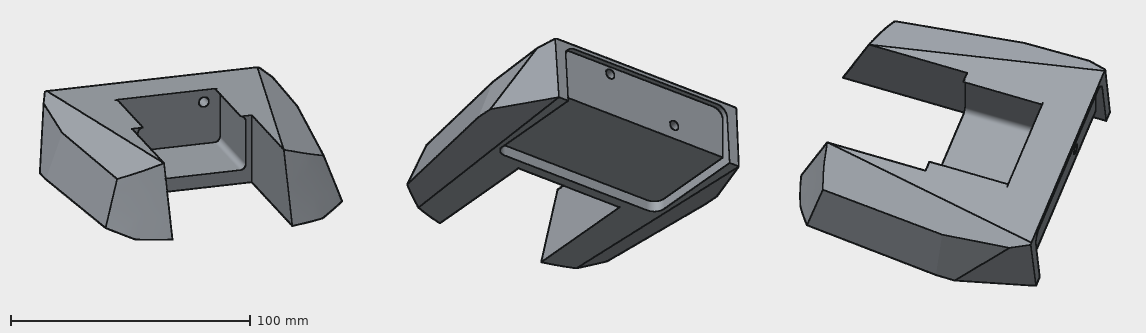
import cadquery as cq
import math

LENGTH = 111.3
WIDTH = 118.0
HEIGHT = 30.0
MARGIN = 5.9
HALF_SPACE = 472.2

BACK_BOTTOM = (0, 46.9, 0)
BACK_TOP = (2.2, 46.3, HEIGHT)
BACK_SIDE = (2.2, 47.2, 29.6)
WIDEST_BACK = (31.9, WIDTH / 2, 5.2)
WIDEST_FRONT = (40.1, WIDTH / 2, 5.4)
SHOULDER = (39.9, 51.7, 25.3)
NOSE_SIDE = (99.6, 52.1, 4.0)

NOSE_AXIS_X = 4.5
NOSE_BOTTOM_RADIUS = 110.0
NOSE_TOP_RADIUS = 98.8

SLOT_BACK = 56.2
SLOT_HALF_WIDTH = 26.3

POCKET_BACK = 21.2
OPENING_HALF_WIDTH = 21.5
POCKET_HALF_WIDTH = 23.7
POCKET_FLOOR = 6.0
POCKET_FILLET = 2.5

RECESS_HALF_WIDTH = 42.0
RECESS_TOP = 28.0
RECESS_DEPTH = 4.7
RECESS_RADIUS = 5.0
UNDERSIDE_DEPTH = 5.0
UNDERSIDE_WALL = 5.0

HOLE_DIAMETER = 4.4
HOLES = [(16.6, 24.5), (-16.6, 11.5)]


def box(x_min, x_max, y_half, z_min, z_max):
    """Block centred on Y = 0 between the given limits."""
    block = cq.Workplane("XY").box(x_max - x_min, 2 * y_half, z_max - z_min, centered=(False, True, False))
    return block.translate((x_min, 0, z_min))


def trim(body, first, second, third):
    """Remove everything beyond the plane through three points, on the side away from the core."""
    origin = cq.Vector(*first)
    along = cq.Vector(*second) - origin
    normal = along.cross(cq.Vector(*third) - origin)
    core = cq.Vector(LENGTH / 2, 0, HEIGHT / 2)
    if normal.dot(core - origin) > 0:
        normal = normal * -1
    plane = cq.Plane(origin=origin, xDir=along, normal=normal)
    return body.cut(cq.Workplane(plane).rect(HALF_SPACE, HALF_SPACE).extrude(HALF_SPACE))


def make_outer_body():
    profile = [(0, 0), (NOSE_BOTTOM_RADIUS, 0), (NOSE_TOP_RADIUS, HEIGHT), (0, HEIGHT)]
    cone = cq.Workplane("XZ").polyline(profile).close().revolve(360, (0, 0, 0), (0, 1, 0))
    cone = cone.translate((NOSE_AXIS_X, 0, 0))
    positive_y = box(-MARGIN, LENGTH + MARGIN, WIDTH, 0, HEIGHT).translate((0, WIDTH, 0))
    half = cone.intersect(positive_y)

    back_edge_end = (BACK_BOTTOM[0], 0, BACK_BOTTOM[2])
    top_inner_end = (nose_x(SLOT_HALF_WIDTH, NOSE_TOP_RADIUS), SLOT_HALF_WIDTH, HEIGHT)
    faces = [
        (BACK_BOTTOM, back_edge_end, BACK_TOP),
        (BACK_TOP, top_inner_end, SHOULDER),
        (BACK_BOTTOM, WIDEST_FRONT, NOSE_SIDE),
        (BACK_BOTTOM, BACK_SIDE, WIDEST_BACK),
        (WIDEST_BACK, WIDEST_FRONT, SHOULDER),
        (WIDEST_FRONT, SHOULDER, NOSE_SIDE),
    ]
    for points in faces:
        half = trim(half, *points)
    return half.union(half.mirror("XZ"))


def nose_x(y, radius):
    """X of the nose at a given Y for a given cone radius."""
    return NOSE_AXIS_X + math.sqrt(radius ** 2 - y ** 2)


def make_slot():
    return box(SLOT_BACK, LENGTH + MARGIN, SLOT_HALF_WIDTH, -MARGIN, HEIGHT + MARGIN)


def make_pocket():
    cavity = box(POCKET_BACK, SLOT_BACK, POCKET_HALF_WIDTH, POCKET_FLOOR, HEIGHT)
    cavity = cavity.edges("|X").fillet(POCKET_FILLET)
    opening = box(POCKET_BACK, SLOT_BACK, OPENING_HALF_WIDTH, HEIGHT / 2, HEIGHT + MARGIN)
    return cavity.union(opening)


def make_back_recess():
    recess = box(-MARGIN, RECESS_DEPTH, RECESS_HALF_WIDTH, -MARGIN, RECESS_TOP)
    return recess.edges("|X and >Z").fillet(RECESS_RADIUS)


def make_underside_recess():
    recess = box(-MARGIN, SLOT_BACK - UNDERSIDE_WALL, RECESS_HALF_WIDTH, -MARGIN, UNDERSIDE_DEPTH)
    return recess.edges("|Z and >X").fillet(RECESS_RADIUS)


def make_holes():
    holes = cq.Workplane("YZ").pushPoints(HOLES).circle(HOLE_DIAMETER / 2)
    return holes.extrude(POCKET_BACK + MARGIN)


result = make_outer_body()
for cutter in [make_slot(), make_pocket(), make_back_recess(), make_underside_recess(), make_holes()]:
    result = result.cut(cutter)